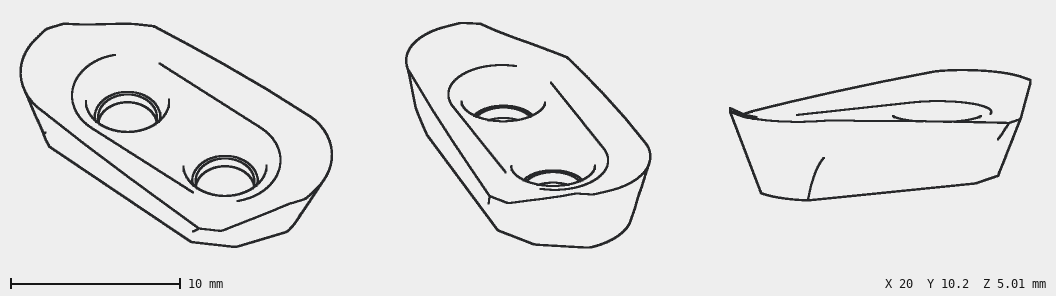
import cadquery as cq
import math


length = 20.0
height = 5.0
blank_height = 5.2
relief_angle = 20.0
reach = 12.0
tolerance = 0.0002

flank_foot = 3.75
flank_tilt = 1.6
flank_half_length = 7.2
flank_break = 2.7
bow_start = 4.78
bow_middle = 5.25
bow_end = 5.4

nose_radius = 4.0
nose_foot_y = -0.5
nose_top_y = -0.85
nose_sweep = 88.0

slant_direction = -29.8
slant_foot = 6.95
corner_direction = -59.0
corner_foot = 5.52
corner_slope = 26.8
end_edge_radius = 0.7
flank_edge_radius = 0.4

floor_height = 3.65
floor_radius = 3.15
floor_center = 3.85
overcut = 1.6
lid_height = 8.0

rim_low = 3.72
rim_nose_sweep = 87.0
rim_flank_middle = (0, -5.15, 4.42)
rim_flank_low = (5.92, -5.08, rim_low)
rim_corner = (7.05, -4.4, rim_low)
rim_slant_high = (9.48, -1.1, height)
rim_tip = (9.98, -0.25, height)

nose_ruling = 202.0
flank_ruling = 270.0
corner_ruling = 295.0
slant_ruling = 353.0
tip_ruling = 369.0
last_ruling = nose_ruling + 180.0

hole_x = 3.75
hole_y = 0.05
mouth_round = 0.5
head_radius = 2.45
seat_top = 2.75
seat_round = 0.5
seat_angle = 45.0
seat_lip_round = 0.3
neck_radius = 1.95
neck_bottom = 1.65
bore_radius = 1.75
flare_top = 0.9
flare_radius = 2.75


def half_turn(shape):
    return shape.rotate((0, 0, 0), (0, 0, 1), 180)


def both_ends(shape):
    """The shape and its copy turned half a turn about Z."""
    return [shape, half_turn(shape)]


def edge_through(points):
    """Line through two points or arc through three."""
    vectors = [cq.Vector(*point) for point in points]
    if len(vectors) == 2:
        return cq.Edge.makeLine(*vectors)
    return cq.Edge.makeThreePointArc(*vectors)


def flank_outline(z, flank_points):
    """Closed outline at height z; the flank is a line or an arc, carried on straight to the ends."""
    start = flank_points[0]
    end = flank_points[-1]
    near_end = (-reach, start[1], z)
    far_end = (reach, end[1], z)
    next_end = (reach, -start[1], z)
    half = [
        edge_through([near_end, (*start, z)]),
        edge_through([(x, y, z) for x, y in flank_points]),
        edge_through([(*end, z), far_end]),
        edge_through([far_end, next_end]),
    ]
    return cq.Wire.assembleEdges(half + [half_turn(edge) for edge in half])


def flat_flank_outline(z):
    middle = flank_foot + z * math.tan(math.radians(relief_angle))
    shift = flank_half_length * math.tan(math.radians(flank_tilt))
    return flank_outline(z, [(-flank_half_length, shift - middle), (flank_half_length, -shift - middle)])


def flank_body():
    foot = flat_flank_outline(0)
    break_line = flat_flank_outline(flank_break)
    bow = [(-flank_half_length, -bow_start), (0, -bow_middle), (flank_half_length, -bow_end)]
    top = flank_outline(blank_height, bow)
    lower = cq.Solid.makeLoft([foot, break_line], True)
    upper = cq.Solid.makeLoft([break_line, top], True)
    return cq.Workplane(lower).union(cq.Workplane(upper))


def nose_outline(z):
    """Region on the inner side of the flat end and the nose arc at height z."""
    end_x = -length / 2 + (height - z) * math.tan(math.radians(relief_angle))
    center_x = end_x + nose_radius
    center_y = nose_foot_y + (nose_top_y - nose_foot_y) * z / height

    def on_arc(degrees):
        angle = math.radians(degrees)
        return (center_x - nose_radius * math.cos(angle), center_y - nose_radius * math.sin(angle))

    return (
        cq.Workplane("XY", origin=(0, 0, z))
        .moveTo(end_x, reach)
        .lineTo(end_x, center_y)
        .threePointArc(on_arc(nose_sweep / 2), on_arc(nose_sweep))
        .lineTo(on_arc(nose_sweep)[0], -reach)
        .lineTo(2 * reach, -reach)
        .lineTo(2 * reach, reach)
        .close()
        .wire()
        .val()
    )


def nose_body():
    return cq.Solid.makeLoft([nose_outline(0), nose_outline(blank_height)], True)


def outside_plane(direction, foot, slope):
    """Block outside a flat flank face; direction is the angle of its normal in XY."""
    turn = math.radians(direction)
    lean = math.radians(slope)
    across = (math.cos(turn), math.sin(turn))
    normal = (across[0] * math.cos(lean), across[1] * math.cos(lean), -math.sin(lean))
    face = cq.Plane(origin=(across[0] * foot, across[1] * foot, 0),
                    xDir=(-across[1], across[0], 0), normal=normal)
    return cq.Workplane(face).rect(4 * reach, 4 * reach).extrude(reach).val()


def round_corner_edges(body, top_height, radius):
    """Round the edges that climb from the base to a given height on the corner away from the nose."""
    edges = []
    for edge in body.edges().vals():
        foot, top = sorted(edge.Vertices(), key=lambda vertex: vertex.Z)
        spans = foot.Z < tolerance and abs(top.Z - top_height) < tolerance
        if spans and top.X * top.Y < 0:
            edges.append(edge)
    return body.newObject(edges).fillet(radius)


def floor_point(side, degrees):
    """Point on the round end of the floor outline; side is -1 or 1."""
    angle = math.radians(degrees)
    return (side * floor_center + floor_radius * math.cos(angle),
            floor_radius * math.sin(angle), floor_height)


def floor_arc(side, start, end):
    return edge_through([floor_point(side, angle) for angle in (start, (start + end) / 2, end)])


def rim_nose(degrees):
    """Point on the nose cutting edge; the angle is measured from -X."""
    angle = math.radians(degrees)
    return (-length / 2 + nose_radius - nose_radius * math.cos(angle),
            nose_top_y - nose_radius * math.sin(angle), height)


def run_past(floor_edge, rim_points):
    """Edge beyond the cutting edge, on the rulings from the floor through the rim points."""
    outer_points = []
    for index, point in enumerate(rim_points):
        base = floor_edge.positionAt(index / (len(rim_points) - 1))
        outer = base + (cq.Vector(*point) - base) * overcut
        outer_points.append(outer.toTuple())
    return edge_through(outer_points)


def flatten_to_lid(edge):
    """Plan shape of an edge, moved to the lid height."""
    stations = (0, 1) if edge.geomType() == "LINE" else (0, 0.5, 1)
    points = [edge.positionAt(station) for station in stations]
    return edge_through([(point.x, point.y, lid_height) for point in points])


def hollow():
    """Everything above the floor and the ruled faces around it."""
    nose_rim = [rim_nose(part * rim_nose_sweep) for part in (0, 0.5, 1)]
    flank_floor = edge_through([floor_point(-1, flank_ruling), floor_point(1, flank_ruling)])
    opposite_nose = (-nose_rim[0][0], -nose_rim[0][1], height)
    half_ring = [
        (floor_arc(-1, nose_ruling, flank_ruling), nose_rim),
        (flank_floor, [nose_rim[-1], rim_flank_middle, rim_flank_low]),
        (floor_arc(1, flank_ruling, corner_ruling), [rim_flank_low, rim_corner]),
        (floor_arc(1, corner_ruling, slant_ruling), [rim_corner, rim_slant_high]),
        (floor_arc(1, slant_ruling, tip_ruling), [rim_slant_high, rim_tip]),
        (floor_arc(1, tip_ruling, last_ruling), [rim_tip, opposite_nose]),
    ]
    floor_edges = []
    lid_edges = []
    faces = []
    for floor_edge, rim_points in half_ring:
        outer_edge = run_past(floor_edge, rim_points)
        lid_edge = flatten_to_lid(outer_edge)
        faces += both_ends(cq.Face.makeRuledSurface(floor_edge, outer_edge))
        faces += both_ends(cq.Face.makeRuledSurface(outer_edge, lid_edge))
        floor_edges.append(floor_edge)
        lid_edges.append(lid_edge)
    for half_outline in (floor_edges, lid_edges):
        other_half = [half_turn(edge) for edge in half_outline]
        faces.append(cq.Face.makeFromWires(cq.Wire.assembleEdges(half_outline + other_half)))
    return cq.Solid.makeSolid(cq.Shell.makeShell(faces)).fix()


def screw_hole():
    """Stepped hole with rounded mouth, conical seat, bore and flared exit."""
    slope = math.radians(seat_angle)
    seat_radius = head_radius - seat_round * (1 - math.cos(slope))
    seat_height = seat_top - seat_round * math.sin(slope)
    lip_height = seat_height - (seat_radius - neck_radius) / math.tan(slope)
    lip_length = seat_lip_round * math.tan(slope / 2)
    lip_top = (neck_radius + lip_length * math.sin(slope), lip_height + lip_length * math.cos(slope))
    half_bend = mouth_round * math.sqrt(0.5)
    mouth_center = (head_radius + mouth_round, floor_height - mouth_round)
    return (
        cq.Workplane("XZ")
        .moveTo(0, 0)
        .lineTo(flare_radius, 0)
        .lineTo(bore_radius, flare_top)
        .lineTo(bore_radius, neck_bottom)
        .lineTo(neck_radius, neck_bottom)
        .lineTo(neck_radius, lip_height - lip_length)
        .tangentArcPoint(lip_top, relative=False)
        .lineTo(seat_radius, seat_height)
        .tangentArcPoint((head_radius, seat_top), relative=False)
        .lineTo(head_radius, mouth_center[1])
        .threePointArc((mouth_center[0] - half_bend, mouth_center[1] + half_bend),
                       (mouth_center[0], floor_height))
        .lineTo(mouth_center[0], lid_height)
        .lineTo(0, lid_height)
        .close()
        .revolve(360, (0, 0, 0), (0, 1, 0))
        .translate((-hole_x, hole_y, 0))
        .val()
    )


body = flank_body()
for nose in both_ends(nose_body()):
    body = body.intersect(cq.Workplane(nose))
for direction, foot, slope in (
    (slant_direction, slant_foot, relief_angle),
    (corner_direction, corner_foot, corner_slope),
):
    for outside in both_ends(outside_plane(direction, foot, slope)):
        body = body.cut(cq.Workplane(outside))

body = round_corner_edges(body, blank_height, end_edge_radius)
body = round_corner_edges(body, flank_break, flank_edge_radius)

result = body.cut(cq.Workplane(hollow()))
for hole in both_ends(screw_hole()):
    result = result.cut(cq.Workplane(hole))
result = result.newObject([result.solids().val()])